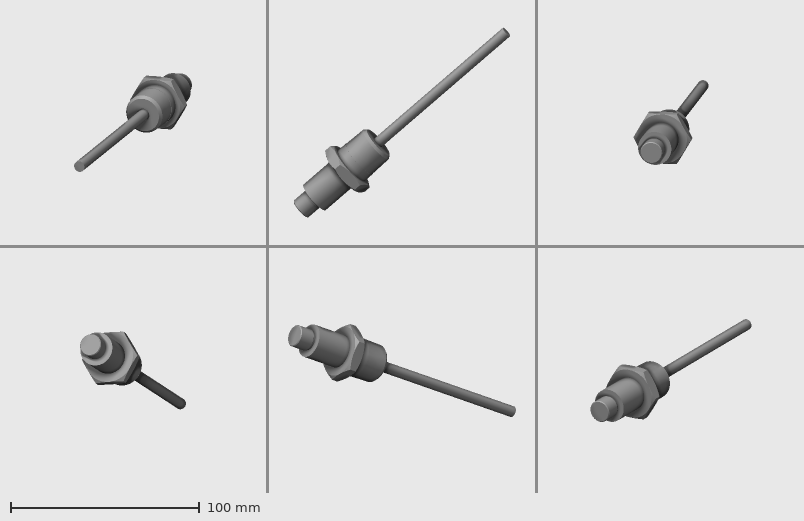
import cadquery as cq
import math

total_length = 147.4
rear_end_y = total_length / 2

plug_radius = 5.9
plug_chamfer = 0.5
plug_length = 9.0
plug_rear_chamfer = 0.6
neck_radius = 5.3

body_start = 9.9
body_radius = 9.0

hex_start = 30.4
hex_end = 36.4
hex_across_flats = 27.0
hex_chamfer_angle = 30.0

collar_end = 42.0
collar_radius = 10.8
thread_start_radius = 10.6
thread_end = 55.5
thread_end_radius = 10.3
thread_chamfer_length = 1.6
thread_chamfer_depth = 1.3

rod_radius = 3.0
recess_radius = 3.5
recess_depth = 1.0


def revolve_profile(points):
    """Turn (radius, station) points, closed through the axis, about Y."""
    outline = [(radius, rear_end_y - station) for radius, station in points]
    return cq.Workplane("XY").polyline(outline).close().revolve(360, (0, 0), (0, 1))


def make_turned_body():
    return revolve_profile([
        (0, 0),
        (plug_radius - plug_chamfer, 0),
        (plug_radius, plug_chamfer),
        (plug_radius, plug_length - plug_rear_chamfer),
        (neck_radius, plug_length),
        (neck_radius, body_start),
        (body_radius, body_start),
        (body_radius, hex_start),
        (collar_radius, hex_start),
        (collar_radius, collar_end),
        (thread_start_radius, collar_end),
        (thread_end_radius, thread_end - thread_chamfer_length),
        (thread_end_radius - thread_chamfer_depth, thread_end),
        (recess_radius, thread_end),
        (recess_radius, thread_end - recess_depth),
        (rod_radius, thread_end - recess_depth),
        (rod_radius, total_length),
        (0, total_length),
    ])


def make_hexagon():
    """Hexagon with corners on X, both faces chamfered by cones from the flats."""
    flat_radius = hex_across_flats / 2
    corner_radius = flat_radius / math.cos(math.pi / 6)
    chamfer_length = (corner_radius - flat_radius) * math.tan(math.radians(hex_chamfer_angle))
    prism = (
        cq.Workplane("XZ", origin=(0, rear_end_y - hex_start, 0))
        .polygon(6, 2 * corner_radius)
        .extrude(hex_end - hex_start)
    )
    chamfer_envelope = revolve_profile([
        (0, hex_start),
        (flat_radius, hex_start),
        (corner_radius, hex_start + chamfer_length),
        (corner_radius, hex_end - chamfer_length),
        (flat_radius, hex_end),
        (0, hex_end),
    ])
    return prism.intersect(chamfer_envelope)


result = make_turned_body().union(make_hexagon())